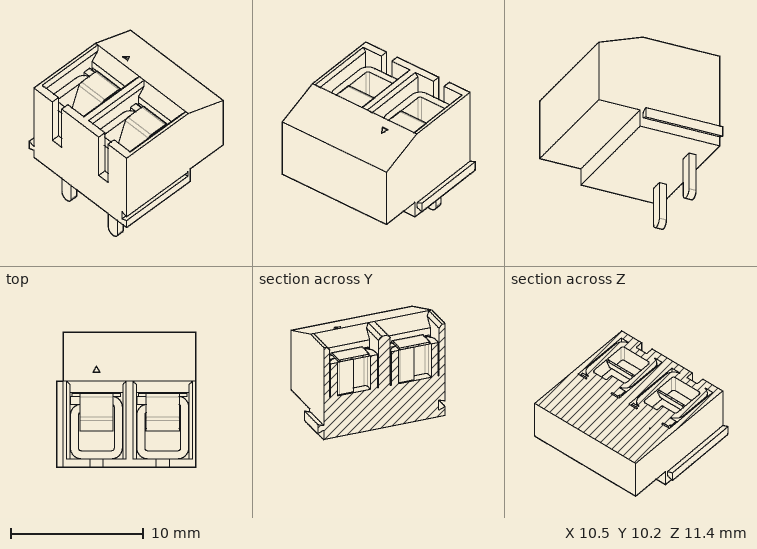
import cadquery as cq
import math


width = 10.0
depth = 10.2
height = 7.8
ridge_y = 6.5
rear_height = 6.41
step_y = 6.73
step_height = 1.4

pole_count = 2
pitch = width / pole_count
pole_centers = [(i - (pole_count - 1) / 2) * pitch for i in range(pole_count)]

rail_projection = 0.5
rail_length = 6.5
rail_z = 1.0
rail_outer_height = 0.82
rail_root_height = 0.43

front_wall = 0.65
cavity_half_width = 2.0
cavity_rear_y = 5.65
cavity_floor = 3.5
side_bevel_width = 0.25
side_bevel_drop = 0.3
rear_bevel_drop = 1.0

slot_width = 1.0
pin_length = 3.6
pin_front_y = 1.0
strip_thickness = 0.6

cage_half_width = 1.95
cage_top = 6.32
cage_rear_y = 5.36
cage_radius = 0.8

plate_width = 3.66
plate_top = 6.25
plate_thickness = 0.2
plate_rear_y = cage_rear_y + plate_thickness
tongue_width = 2.51
tongue_top = 6.5
tongue_fold_y = 3.61
tongue_tip_y = 2.72
tongue_angle = 70
rear_bend_radius = 0.27
fold_radius = 0.28

boss_radius = tongue_width / 2
boss_z = cavity_floor + boss_radius

mark_width = 0.54
mark_height = 0.5
mark_base_y = 7.17
mark_depth = 0.1


def box(x_min, x_max, y_min, y_max, z_min, z_max):
    size = (x_max - x_min, y_max - y_min, z_max - z_min)
    return cq.Workplane("XY").box(*size, centered=False).translate((x_min, y_min, z_min))


def make_housing():
    profile = [
        (0, 0),
        (step_y, 0),
        (step_y, step_height),
        (depth, step_height),
        (depth, rear_height),
        (ridge_y, height),
        (0, height),
    ]
    return cq.Workplane("YZ").polyline(profile).close().extrude(width / 2, both=True)


def dovetail(root_x):
    """Dovetail bar that widens from root_x toward -X."""
    tip_x = root_x - rail_projection
    profile = [
        (root_x, rail_z - rail_root_height / 2),
        (tip_x, rail_z - rail_outer_height / 2),
        (tip_x, rail_z + rail_outer_height / 2),
        (root_x, rail_z + rail_root_height / 2),
    ]
    return cq.Workplane("XZ").polyline(profile).close().extrude(-rail_length)


def cavity():
    """Pocket with bevelled top edges on both sides and at the rear, centred on X = 0."""
    side_profile = [
        (front_wall, cavity_floor),
        (cavity_rear_y, cavity_floor),
        (cavity_rear_y, height - rear_bevel_drop),
        (ridge_y, height),
        (front_wall, height),
    ]
    mouth_half_width = cavity_half_width + side_bevel_width
    front_profile = [
        (-cavity_half_width, cavity_floor),
        (cavity_half_width, cavity_floor),
        (cavity_half_width, height - side_bevel_drop),
        (mouth_half_width, height),
        (-mouth_half_width, height),
        (-cavity_half_width, height - side_bevel_drop),
    ]
    long_prism = cq.Workplane("YZ").polyline(side_profile).close().extrude(mouth_half_width, both=True)
    cross_prism = cq.Workplane("XZ").polyline(front_profile).close().extrude(-depth)
    return long_prism.intersect(cross_prism)


def front_slot():
    return box(-slot_width / 2, slot_width / 2, 0, front_wall, cavity_floor, height)


def rear_boss():
    return (
        cq.Workplane("XZ", origin=(0, plate_rear_y, 0))
        .center(0, boss_z)
        .circle(boss_radius)
        .extrude(plate_rear_y - cavity_rear_y)
    )


def cage_ring(rear_y):
    """Closed loop of strip standing on the cavity floor."""
    ring_depth = rear_y - front_wall
    ring_height = cage_top - cavity_floor

    def loop(inset):
        return (
            cq.Workplane("XY", origin=(0, front_wall + ring_depth / 2, cavity_floor))
            .rect(2 * (cage_half_width - inset), ring_depth - 2 * inset)
            .extrude(ring_height)
            .edges("|Z")
            .fillet(cage_radius - inset)
        )

    return loop(0).cut(loop(strip_thickness))


def make_cage():
    lap_y = cage_rear_y - strip_thickness
    left_half = box(-cage_half_width, 0, 0, depth, 0, height)
    right_half = box(0, cage_half_width, 0, depth, 0, height)
    flap = box(-cage_half_width, 0, lap_y, cage_rear_y, cavity_floor, cage_top)
    left_part = cage_ring(lap_y).intersect(left_half)
    right_part = cage_ring(cage_rear_y).intersect(right_half)
    return left_part.union(right_part).union(flap)


def make_contact():
    plate = box(-plate_width / 2, plate_width / 2, cage_rear_y, plate_rear_y, cavity_floor, plate_top)

    angle = math.radians(tongue_angle)
    tip_z = tongue_top - (tongue_fold_y - tongue_tip_y) * math.tan(angle)
    under_z = tongue_top - plate_thickness
    under_fold_y = tongue_fold_y + plate_thickness * math.tan(angle / 2)
    profile = [
        (plate_rear_y, cavity_floor),
        (plate_rear_y, tongue_top),
        (tongue_fold_y, tongue_top),
        (tongue_tip_y, tip_z),
        (tongue_tip_y + plate_thickness * math.sin(angle), tip_z - plate_thickness * math.cos(angle)),
        (under_fold_y, under_z),
        (cage_rear_y, under_z),
        (cage_rear_y, cavity_floor),
    ]
    tongue = cq.Workplane("YZ").polyline(profile).close().extrude(tongue_width / 2, both=True)
    bends = [
        (plate_rear_y, tongue_top, rear_bend_radius),
        (cage_rear_y, under_z, rear_bend_radius - plate_thickness),
        (tongue_fold_y, tongue_top, fold_radius),
        (under_fold_y, under_z, fold_radius - plate_thickness),
    ]
    for y, z, radius in bends:
        tongue = tongue.edges(cq.NearestToPointSelector((0, y, z))).fillet(radius)
    return plate.union(tongue)


def make_pin():
    """Flat pin with a fully rounded end, rooted inside the housing."""
    radius = slot_width / 2
    return (
        cq.Workplane("XZ", origin=(0, pin_front_y, 0))
        .moveTo(-radius, step_height)
        .lineTo(-radius, radius - pin_length)
        .threePointArc((0, -pin_length), (radius, radius - pin_length))
        .lineTo(radius, step_height)
        .close()
        .extrude(-strip_thickness)
    )


def first_pole_mark():
    slope = math.atan2(height - rear_height, depth - ridge_y)
    base_z = height - (mark_base_y - ridge_y) * math.tan(slope)
    roof = cq.Plane(
        origin=(pole_centers[0], mark_base_y, base_z),
        xDir=(1, 0, 0),
        normal=(0, math.sin(slope), math.cos(slope)),
    )
    triangle = [(-mark_width / 2, 0), (mark_width / 2, 0), (0, mark_height)]
    return cq.Workplane(roof).polyline(triangle).close().extrude(-mark_depth)


result = (
    make_housing()
    .union(dovetail(-width / 2))
    .cut(dovetail(width / 2))
    .cut(first_pole_mark())
)

for center_x in pole_centers:
    for opening in (cavity(), front_slot()):
        result = result.cut(opening.translate((center_x, 0, 0)))
    for addition in (rear_boss(), make_cage(), make_contact(), make_pin()):
        result = result.union(addition.translate((center_x, 0, 0)))